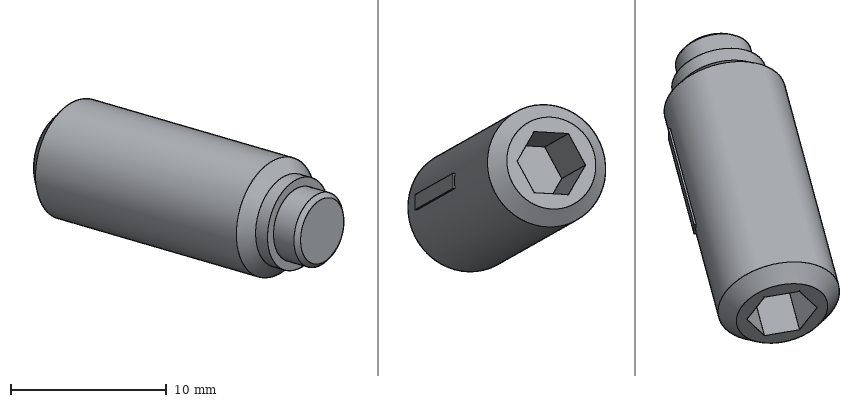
import cadquery as cq
import math

total_length = 21.6
body_diameter = 8.0

socket_end_chamfer = 1.0
collar_diameter = 6.2
collar_length = 1.0
cone_length = 0.86
pin_diameter = 5.0
pin_length = 2.0
pin_chamfer = 0.3

socket_across_flats = 4.0
socket_depth = 5.0

strip_start = 7.9
strip_length = 8.0
strip_width = 1.0
strip_height = 0.1

body_radius = body_diameter / 2
collar_radius = collar_diameter / 2
pin_radius = pin_diameter / 2
socket_across_corners = socket_across_flats / math.cos(math.pi / 6)

collar_end = total_length - pin_length
collar_start = collar_end - collar_length
cone_start = collar_start - cone_length


def turned_body():
    """Revolve the half profile of the stepped screw about the X axis."""
    return (
        cq.Workplane("XY")
        .moveTo(0, 0)
        .lineTo(0, body_radius - socket_end_chamfer)
        .lineTo(socket_end_chamfer, body_radius)
        .lineTo(cone_start, body_radius)
        .lineTo(collar_start, collar_radius)
        .lineTo(collar_end, collar_radius)
        .lineTo(collar_end, pin_radius)
        .lineTo(total_length - pin_chamfer, pin_radius)
        .lineTo(total_length, pin_radius - pin_chamfer)
        .lineTo(total_length, 0)
        .close()
        .revolve(360, (0, 0, 0), (1, 0, 0))
    )


def hex_socket():
    """Hexagonal prism sunk into the socket end, corners on the Y axis."""
    return (
        cq.Workplane("YZ")
        .polygon(6, socket_across_corners)
        .extrude(socket_depth)
    )


def locking_strip():
    """Flat strip rooted in the body and standing slightly proud of it."""
    strip_top = body_radius + strip_height
    return (
        cq.Workplane("XY")
        .box(strip_length, strip_top, strip_width, centered=(False, False, True))
        .translate((strip_start, 0, 0))
    )


result = turned_body().union(locking_strip()).cut(hex_socket())